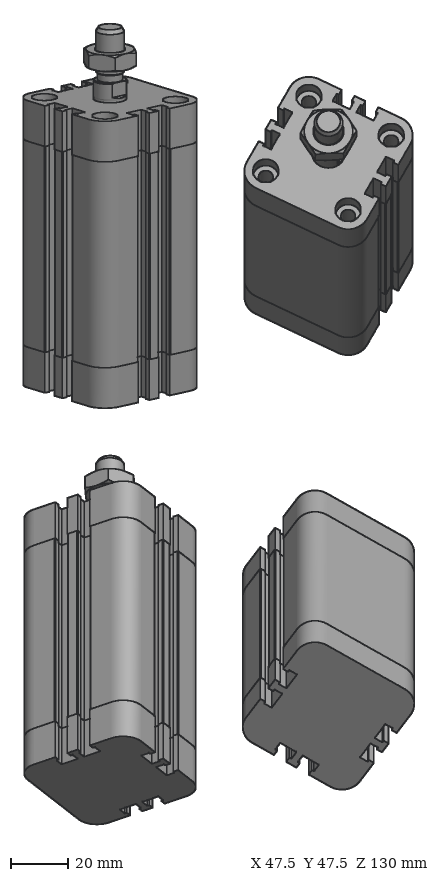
import cadquery as cq
import math

side = 47.5
corner_radius = 7.5
body_length = 104.0
overall_length = 130.0
cap_length = 14.7
barrel_length = body_length - 2 * cap_length
front_cap_base = body_length - cap_length

slot_offset = 4.7
slot_mouth_width = 5.1
slot_inner_width = 6.75
slot_depth = 5.3
slot_lip = 2.1
barrel_mouth_chamfer = 0.35
slot_face_angles = (-90, 0, 90)

mount_spacing = 32.5
mount_hole_diameter = 5.1
counterbore_diameter = 9.0
counterbore_depth = 5.3

rod_diameter = 11.8
rod_base_diameter = 11.6
rod_taper_base = 104.8
rod_taper_length = 0.4
rod_shoulder = 111.0
shoulder_chamfer = 0.3
flats_base = 105.9
flats_floor_drop = 0.5
flats_width = 10.0
neck_diameter = 9.0
neck_top = 113.5
thread_diameter = 10.0
thread_chamfer = 0.4
tip_diameter = 8.2
tip_chamfer_length = 1.5

nut_flats = 17.0
nut_thickness = 6.0
nut_base = 116.0
nut_chamfer_angle = 30.0
nut_countersink_diameter = 10.8


def slot_outline(offset, mouth_chamfer):
    """T-slot cross-section cut into the -Y face, open towards -Y."""
    face = -side / 2
    mouth = slot_mouth_width / 2
    inner = slot_inner_width / 2
    right_half = [
        (mouth + mouth_chamfer, face),
        (mouth, face + mouth_chamfer),
        (mouth, face + slot_lip),
        (inner, face + slot_lip),
        (inner, face + slot_depth),
    ]
    if mouth_chamfer == 0:
        right_half = right_half[1:]
    left_half = [(-x, y) for x, y in reversed(right_half)]
    return [(offset + x, y) for x, y in right_half + left_half]


def profile_block(base, length, mouth_chamfer=0.0):
    """Rounded square block with the slot pairs running along its length."""
    block = cq.Workplane("XY").rect(side, side).extrude(length)
    block = block.edges("|Z").fillet(corner_radius)
    for angle in slot_face_angles:
        for offset in (-slot_offset, slot_offset):
            slot = cq.Workplane("XY").polyline(slot_outline(offset, mouth_chamfer)).close().extrude(length)
            block = block.cut(slot.rotate((0, 0, 0), (0, 0, 1), angle))
    return block.translate((0, 0, base))


def make_front_cap():
    cap = profile_block(front_cap_base, cap_length)
    cap = cap.faces(">Z").workplane(origin=(0, 0, body_length)).hole(rod_base_diameter)
    cap = (
        cap.faces(">Z")
        .workplane(origin=(0, 0, body_length))
        .rect(mount_spacing, mount_spacing, forConstruction=True)
        .vertices()
        .cboreHole(mount_hole_diameter, counterbore_diameter, counterbore_depth)
    )
    return cap


def make_piston_rod():
    rod = rod_diameter / 2
    base = rod_base_diameter / 2
    neck = neck_diameter / 2
    thread = thread_diameter / 2
    profile = [
        (0, front_cap_base),
        (base, front_cap_base),
        (base, rod_taper_base),
        (rod, rod_taper_base + rod_taper_length),
        (rod, rod_shoulder - shoulder_chamfer),
        (rod - shoulder_chamfer, rod_shoulder),
        (neck, rod_shoulder),
        (neck, neck_top),
        (thread - thread_chamfer, neck_top),
        (thread, neck_top + thread_chamfer),
        (thread, overall_length - tip_chamfer_length),
        (tip_diameter / 2, overall_length),
        (0, overall_length),
    ]
    body = cq.Workplane("XZ").polyline(profile).close().revolve(360, (0, 0, 0), (0, 1, 0))
    flat = flats_width / 2
    for direction in (-1, 1):
        waste = (
            cq.Workplane("XZ")
            .polyline(
                [
                    (direction * flat, flats_base),
                    (direction * rod, flats_base - flats_floor_drop),
                    (direction * rod, rod_shoulder),
                    (direction * flat, rod_shoulder),
                ]
            )
            .close()
            .extrude(rod, both=True)
        )
        body = body.cut(waste)
    return body


def make_lock_nut():
    across_corners = nut_flats / math.cos(math.radians(30))
    chamfer_height = (across_corners - nut_flats) / 2 * math.tan(math.radians(nut_chamfer_angle))
    hexagon = cq.Workplane("XY").polygon(6, across_corners).extrude(nut_thickness)
    hexagon = hexagon.rotate((0, 0, 0), (0, 0, 1), 30)
    envelope_profile = [
        (0, 0),
        (nut_flats / 2, 0),
        (across_corners / 2, chamfer_height),
        (across_corners / 2, nut_thickness - chamfer_height),
        (nut_flats / 2, nut_thickness),
        (0, nut_thickness),
    ]
    envelope = cq.Workplane("XZ").polyline(envelope_profile).close().revolve(360, (0, 0, 0), (0, 1, 0))
    nut = hexagon.intersect(envelope).faces(">Z").workplane().hole(thread_diameter)
    countersink_depth = (nut_countersink_diameter - thread_diameter) / 2
    nut = nut.edges(cq.selectors.RadiusNthSelector(0)).chamfer(countersink_depth)
    return nut.translate((0, 0, nut_base))


rear_cap = profile_block(0, cap_length)
barrel = profile_block(cap_length, barrel_length, barrel_mouth_chamfer)
front_cap = make_front_cap()
piston_rod = make_piston_rod()
lock_nut = make_lock_nut()

result = cq.Compound.makeCompound(
    [
        rear_cap.val(),
        barrel.val(),
        front_cap.val(),
        piston_rod.val(),
        lock_nut.val(),
    ]
)